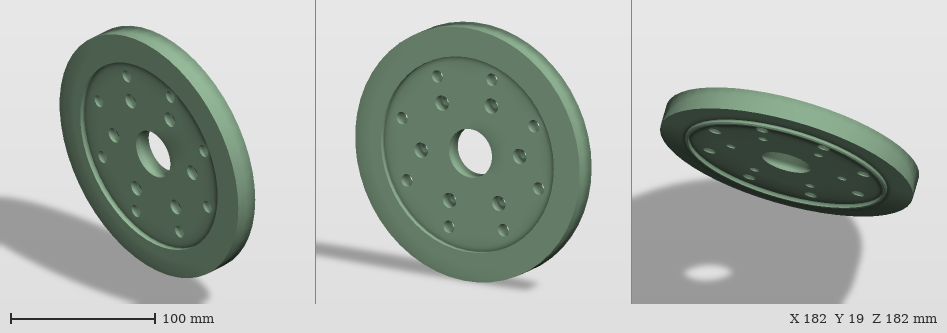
import cadquery as cq

disc_diameter = 182.0
total_depth = 19.0

recess_diameter = 140.0
recess_depth = 4.0
bore_diameter = 35.0

ring_outer_diameter = 145.0
ring_inner_diameter = recess_diameter
ring_height = 3.0
ring_chamfer = 1.0
disc_thickness = total_depth - ring_height

outer_hole_count = 8
outer_hole_diameter = 9.0
outer_circle_diameter = 116.0

screw_hole_count = 6
screw_hole_diameter = 6.5
counterbore_diameter = 11.0
counterbore_depth = 6.7
screw_circle_diameter = 80.0

pattern_turn = 5.0
outer_start_angle = pattern_turn + 360 / outer_hole_count / 2


def plane_at_depth(depth):
    """Workplane at a distance behind the front face, facing forward: local X is +X, local Y is +Z."""
    return cq.Workplane("XZ", origin=(0, depth, 0))


def centre_cylinder(diameter, start_depth, length):
    """Cylinder on the main axis, running backward from start_depth."""
    return plane_at_depth(start_depth).circle(diameter / 2).extrude(-length)


def circle_of_cylinders(circle_diameter, start_angle, count, diameter, start_depth, length):
    """Equally spaced cylinders running backward from start_depth."""
    return (
        plane_at_depth(start_depth)
        .polarArray(circle_diameter / 2, start_angle, 360, count)
        .circle(diameter / 2)
        .extrude(-length)
    )


disc = centre_cylinder(disc_diameter, 0, disc_thickness)
ring = centre_cylinder(ring_outer_diameter, disc_thickness, ring_height).faces(">Y").chamfer(ring_chamfer)
ring = ring.cut(centre_cylinder(ring_inner_diameter, disc_thickness, ring_height))
body = disc.union(ring)

body = body.cut(centre_cylinder(recess_diameter, 0, recess_depth))
body = body.cut(centre_cylinder(bore_diameter, 0, total_depth))

body = body.cut(
    circle_of_cylinders(
        outer_circle_diameter, outer_start_angle, outer_hole_count, outer_hole_diameter, 0, total_depth
    )
)


def screw_cylinders(diameter, start_depth, length):
    """One cylinder at every screw hole place."""
    return circle_of_cylinders(
        screw_circle_diameter, pattern_turn, screw_hole_count, diameter, start_depth, length
    )


body = body.cut(screw_cylinders(screw_hole_diameter, 0, total_depth))
body = body.cut(screw_cylinders(counterbore_diameter, recess_depth, counterbore_depth))

result = body